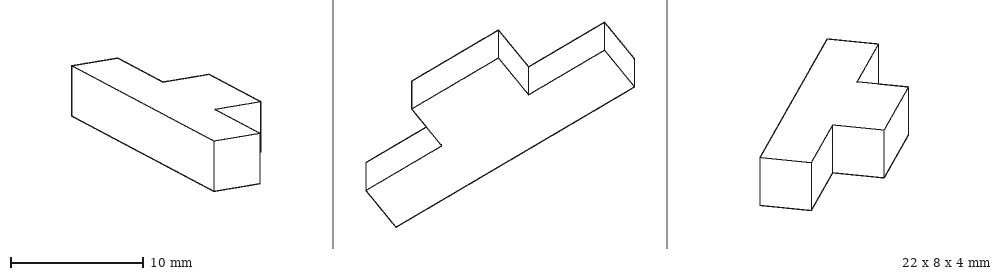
import cadquery as cq

bar_length = 22.0
thickness = 4.0
tab_width = 2 * thickness
tab_projection = thickness

bar = cq.Workplane("XY").box(bar_length, thickness, thickness, centered=(True, False, False))

tab = (
    cq.Workplane("XY")
    .box(tab_width, tab_projection, thickness, centered=(True, False, False))
    .translate((0, thickness, 0))
)

result = bar.union(tab).clean()